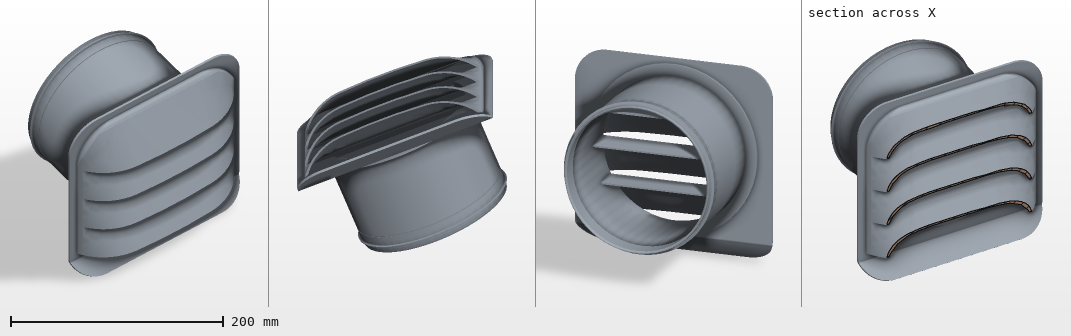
import cadquery as cq
import math


pipe_radius = 73.2
pipe_end_radius = 72.5
pipe_end_chamfer_length = 1.4
bore_radius = 71.6
collar_radius = 70.2
collar_end = 17.3
bore_start = 19.8
step_x = 4.0
step_depth = 0.4
groove_x = 17.0
groove_width = 1.0
groove_depth = 0.5

seal_radius = 75.5
seal_tip_width = 1.2
seal_start = 6.3
seal_end = 8.1
seal_middle = (seal_start + seal_end) / 2

flange_radius = 84.7
flange_x = 97.4
plate_back = 100.2
plate_thickness = 2.4
plate_front = plate_back + plate_thickness
plate_width = 198.4
plate_top = 89.7
plate_height = 194.4
plate_bottom = plate_top - plate_height
plate_corner_radius = 31.7
fold_z = -84.1
fold_angle = math.radians(40)
inner_bend_radius = 0.4
outer_bend_radius = inner_bend_radius + plate_thickness
pick_margin = 0.1

overall_length = 135.5
hood_count = 4
hood_pitch = 37.9
first_hood_top = 77.0
last_hood_bottom = first_hood_top - hood_count * hood_pitch
hood_half_width = 91.2
rim_half_width = 88.7
rim_depth = 5.5
rim_x = plate_front + rim_depth
hood_depth = overall_length - rim_x
hood_root_depth = 0.4
hood_wall = 1.8
cap_height = 4.0
hood_corner_radius = 39.7
cap_bulge_share = 0.6
shoulder_y = 43.6
front_bow_share = 0.06

shelf_tip_x = 73.8
shelf_crest_x = 99.2
shelf_heights = [(39.3, 43.0), (3.4, 6.0), (-32.5, -31.3)]
shelf_thickness = 1.5


def disc(radius, x_start, x_end):
    """Solid cylinder on the pipe axis."""
    return cq.Workplane("YZ").workplane(offset=x_start).circle(radius).extrude(x_end - x_start)


def revolve_about_axis(points):
    """Turn an (x, radius) outline about the pipe axis."""
    return cq.Workplane("XY").polyline(points).close().revolve(360, (0, 0, 0), (1, 0, 0))


def make_tube():
    """Solid pipe with chamfered end, groove, sealing ring and round flange."""
    lip_radius = pipe_radius - step_depth
    tube_outline = [
        (0, 0),
        (0, pipe_end_radius),
        (pipe_end_chamfer_length, lip_radius),
        (step_x, lip_radius),
        (step_x, pipe_radius),
        (groove_x, pipe_radius),
        (groove_x, pipe_radius - groove_depth),
        (groove_x + groove_width, pipe_radius - groove_depth),
        (groove_x + groove_width, pipe_radius),
        (plate_back, pipe_radius),
        (plate_back, 0),
    ]
    seal_outline = [
        (seal_start, bore_radius),
        (seal_start, pipe_radius),
        (seal_middle, seal_radius),
        (seal_middle + seal_tip_width / 2, seal_radius),
        (seal_end, pipe_radius),
        (seal_end, bore_radius),
    ]
    tube = revolve_about_axis(tube_outline).union(revolve_about_axis(seal_outline))
    return tube.union(disc(flange_radius, flange_x, plate_back))


def make_bore():
    """Passage through pipe, flange and plate, narrowed at the pipe end by a collar."""
    return revolve_about_axis([
        (0, 0),
        (0, bore_radius),
        (pipe_end_chamfer_length, collar_radius),
        (collar_end, collar_radius),
        (bore_start, bore_radius),
        (plate_front, bore_radius),
        (plate_front, 0),
    ])


def make_plate():
    """Flat plate with rounded corners whose lower flap is bent away from the pipe."""
    slope_x = math.sin(fold_angle)
    slope_z = math.cos(fold_angle)
    fold_shift = plate_thickness * math.tan(fold_angle / 2)
    back_fold = (plate_back, fold_z - fold_shift / 2)
    front_fold = (plate_front, fold_z + fold_shift / 2)
    back_tip = (plate_back + (back_fold[1] - plate_bottom) / slope_z * slope_x, plate_bottom)
    front_tip = (back_tip[0] + plate_thickness * slope_z, back_tip[1] + plate_thickness * slope_x)
    sheet = (
        cq.Workplane("XZ")
        .polyline([
            (plate_back, plate_top), back_fold, back_tip,
            front_tip, front_fold, (plate_front, plate_top),
        ])
        .close()
        .extrude(plate_width / 2, both=True)
    )

    def fold_edge(point):
        """Selector for the bend edge that crosses the plate at an (x, z) point."""
        x, z = point
        return cq.selectors.BoxSelector(
            (x - pick_margin, -plate_width, z - pick_margin),
            (x + pick_margin, plate_width, z + pick_margin),
        )

    sheet = sheet.edges(fold_edge(back_fold)).fillet(outer_bend_radius)
    sheet = sheet.edges(fold_edge(front_fold)).fillet(inner_bend_radius)

    upper_mask = (
        cq.Workplane("YZ", origin=(0, 0, plate_top))
        .center(0, -plate_width / 2 - plate_corner_radius)
        .rect(plate_width, plate_width + 2 * plate_corner_radius)
        .extrude(plate_width)
        .edges("|X and >Z")
        .fillet(plate_corner_radius)
    )
    flap_plane = cq.Plane(
        origin=(back_tip[0], 0, back_tip[1]), xDir=(0, 1, 0), normal=(slope_z, 0, slope_x)
    )
    half_width = plate_width / 2
    mask_height = 1.5 * plate_width
    inset = plate_corner_radius * (1 - math.sqrt(0.5))
    flap_mask = (
        cq.Workplane(flap_plane)
        .moveTo(plate_corner_radius - half_width, 0)
        .lineTo(half_width - plate_corner_radius, 0)
        .threePointArc((half_width - inset, inset), (half_width, plate_corner_radius))
        .lineTo(half_width, mask_height)
        .lineTo(-half_width, mask_height)
        .lineTo(-half_width, plate_corner_radius)
        .threePointArc((inset - half_width, inset), (plate_corner_radius - half_width, 0))
        .close()
        .extrude(plate_width, both=True)
    )
    return sheet.intersect(upper_mask).intersect(flap_mask)


def make_band(inset):
    """Upright band on the plate that carries the hoods, with tapered sides and a rounded top."""
    front_x = rim_x - inset
    base_y = hood_half_width - inset
    front_y = rim_half_width - inset
    front_z = first_hood_top - inset
    base_z = front_z + cap_height
    bulge_x = plate_front + cap_bulge_share * (front_x - plate_front)
    bulge_y = front_y + cap_bulge_share * (base_y - front_y)
    bulge_z = front_z + cap_bulge_share * cap_height
    plan = (
        cq.Workplane("XY", origin=(0, 0, last_hood_bottom))
        .moveTo(plate_front, -base_y)
        .threePointArc((bulge_x, -bulge_y), (front_x, -front_y))
        .lineTo(front_x, front_y)
        .threePointArc((bulge_x, bulge_y), (plate_front, base_y))
        .close()
        .extrude(base_z - last_hood_bottom)
    )
    profile = (
        cq.Workplane("XZ")
        .moveTo(plate_front, last_hood_bottom)
        .lineTo(plate_front, base_z)
        .threePointArc((bulge_x, bulge_z), (front_x, front_z))
        .lineTo(front_x, last_hood_bottom)
        .close()
        .extrude(hood_half_width, both=True)
    )
    return plan.intersect(profile)


def hood_section(workplane, back_x, depth, half_width):
    """Horizontal hood outline: straight back, bowed front and side arcs tangent to the front."""
    bow = front_bow_share * depth
    shoulder_x = back_x + depth - bow
    front_end_angle = 2 * math.atan2(bow, shoulder_y)
    chord_x = shoulder_x - back_x
    chord_y = half_width - shoulder_y
    bulge = math.tan((math.atan2(chord_x, chord_y) - front_end_angle) / 2) / 2
    side_x = back_x + chord_x / 2 + bulge * chord_y
    side_y = shoulder_y + chord_y / 2 + bulge * chord_x
    return (
        workplane.moveTo(back_x, -half_width)
        .threePointArc((side_x, -side_y), (shoulder_x, -shoulder_y))
        .threePointArc((back_x + depth, 0), (shoulder_x, shoulder_y))
        .threePointArc((side_x, side_y), (back_x, half_width))
        .close()
    )


def hood_loft(bottom, top, inset):
    """Ruled solid from a shallow outline on the band down to the deep lip outline."""
    back_x = rim_x - inset
    half_width = rim_half_width - inset
    lip = hood_section(cq.Workplane("XY", origin=(0, 0, bottom)), back_x, hood_depth, half_width)
    rim = hood_section(lip.workplane(offset=top - bottom), back_x, hood_root_depth, half_width)
    return rim.loft(ruled=True)


def hood_envelope(inset):
    """Upright block with two rounded upper corners that bounds the band and all hoods."""
    top = first_hood_top + cap_height - inset
    height = top - last_hood_bottom
    return (
        cq.Workplane("YZ", origin=(plate_front, 0, last_hood_bottom + height / 2))
        .rect(2 * (hood_half_width - inset), height)
        .extrude(rim_depth + hood_depth)
        .edges("|X and >Z")
        .fillet(hood_corner_radius - inset)
    )


def make_hoods():
    """Stack of downward-opening shells that share one hollow interior."""
    outside = make_band(0)
    inside = make_band(hood_wall)
    for index in range(hood_count):
        top = first_hood_top - index * hood_pitch
        bottom = top - hood_pitch
        outside = outside.union(hood_loft(bottom, top, 0))
        inside = inside.union(hood_loft(bottom, top, hood_wall))
    outside = outside.intersect(hood_envelope(0))
    inside = inside.intersect(hood_envelope(hood_wall))
    return outside.cut(inside)


def make_shelves():
    """Thin bent shelves running from inside the pipe to the foot of each upper hood."""
    root_x = rim_x - hood_wall / 2
    pipe_space = disc((bore_radius + pipe_radius) / 2, 0, plate_front)
    hood_space = cq.Workplane("XY").box(
        rim_depth, 2 * rim_half_width - hood_wall, plate_width, centered=(False, True, True)
    ).translate((plate_front, 0, 0))
    shelves = cq.Workplane("XY")
    for index, (tip_z, crest_z) in enumerate(shelf_heights):
        root_z = first_hood_top - (index + 1) * hood_pitch
        shelf = (
            cq.Workplane("XZ")
            .polyline([
                (shelf_tip_x, tip_z),
                (shelf_crest_x, crest_z),
                (root_x, root_z),
                (root_x, root_z - shelf_thickness),
                (shelf_crest_x, crest_z - shelf_thickness),
                (shelf_tip_x, tip_z - shelf_thickness),
            ])
            .close()
            .extrude(plate_width / 2, both=True)
        )
        shelves = shelves.add(shelf.intersect(pipe_space.union(hood_space)))
    return shelves.combine()


shell_body = make_tube().union(make_plate()).cut(make_bore())
result = shell_body.union(make_hoods()).union(make_shelves())